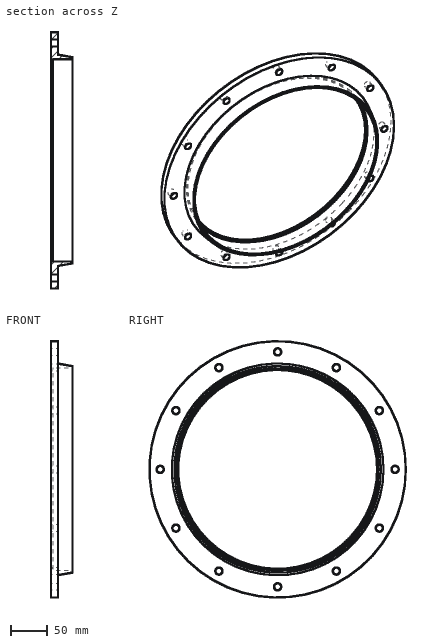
import cadquery as cq
import math

flange_diameter = 355.0
flange_thickness = 10.0

lip_diameter = 275.0
lip_thickness = 3.0

total_length = 30.0
collar_end_diameter = 286.0
collar_taper_deg = 10.0
bore_diameter = 280.0

bolt_count = 12
bolt_circle_diameter = 325.0
bolt_hole_diameter = 9.5

collar_length = total_length - flange_thickness
collar_end_radius = collar_end_diameter / 2
collar_root_radius = collar_end_radius + collar_length * math.tan(math.radians(collar_taper_deg))


def make_ring():
    """Flange and collar, revolved about the X axis from one half section in XY."""
    section = (
        cq.Workplane("XY")
        .moveTo(0, lip_diameter / 2)
        .lineTo(0, flange_diameter / 2)
        .lineTo(flange_thickness, flange_diameter / 2)
        .lineTo(flange_thickness, collar_root_radius)
        .lineTo(total_length, collar_end_radius)
        .lineTo(total_length, bore_diameter / 2)
        .lineTo(lip_thickness, bore_diameter / 2)
        .lineTo(lip_thickness, lip_diameter / 2)
        .close()
    )
    return section.revolve(360, (0, 0, 0), (1, 0, 0))


def make_bolt_holes():
    """Cylinders through the flange, evenly spaced with one on the Y axis."""
    return (
        cq.Workplane("YZ")
        .polarArray(bolt_circle_diameter / 2, 0, 360, bolt_count)
        .circle(bolt_hole_diameter / 2)
        .extrude(flange_thickness)
    )


result = make_ring().cut(make_bolt_holes())